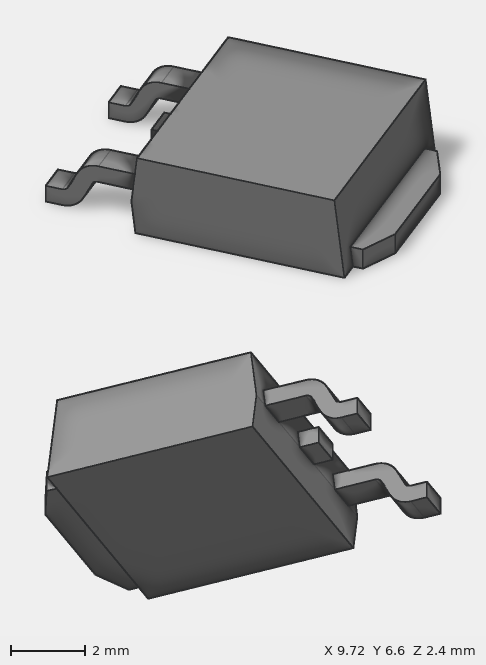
import cadquery as cq
import math

total_length = 9.72

body_width = 6.6
body_height = 2.4
front_top_x = 2.89
front_bottom_x = 2.84
front_ridge_x = 2.72
ridge_z = 0.98
back_top_x = 8.62
back_bottom_x = 8.91

lead_thickness = 0.51
lead_width = 0.89
lead_offset_y = 2.27
lead_top_z = ridge_z + lead_thickness
bend_inner_radius = 0.19
bend_outer_radius = bend_inner_radius + lead_thickness
lower_bend_x = 0.48
upper_bend_x = 1.53

stub_width = 0.93
stub_tip_x = 2.17

tab_thickness = 0.61
tab_width = 5.37
tab_end_width = 3.27
tab_taper_x = 9.2


def face_x(start_x, start_z, end_x, end_z, z):
    """X at height z on a sloping face running between two profile points."""
    return start_x + (end_x - start_x) * (z - start_z) / (end_z - start_z)


lead_root_top_x = face_x(front_ridge_x, ridge_z, front_top_x, body_height, lead_top_z)


def centred_plate(width, center_y=0.0):
    """XZ workplane placed so that extruding by width is centred on center_y."""
    return cq.Workplane("XZ", origin=(0, center_y + width / 2, 0))


def make_housing():
    outline = [
        (front_bottom_x, 0),
        (back_bottom_x, 0),
        (back_top_x, body_height),
        (front_top_x, body_height),
        (front_ridge_x, ridge_z),
    ]
    return centred_plate(body_width).polyline(outline).close().extrude(body_width)


def make_lead(center_y):
    """Gull-wing lead: flat foot, two opposite bends, and a flat run to the housing."""
    lower_center = (lower_bend_x, bend_outer_radius)
    upper_center = (upper_bend_x, lead_top_z - bend_outer_radius)

    run = upper_center[0] - lower_center[0]
    rise = upper_center[1] - lower_center[1]
    radius_sum = bend_inner_radius + bend_outer_radius
    slope = math.asin(radius_sum / math.hypot(run, rise)) + math.atan2(rise, run)

    def lower_arc(radius, angle):
        return (
            lower_center[0] + radius * math.sin(angle),
            lower_center[1] - radius * math.cos(angle),
        )

    def upper_arc(radius, angle):
        return (
            upper_center[0] - radius * math.sin(angle),
            upper_center[1] + radius * math.cos(angle),
        )

    return (
        centred_plate(lead_width, center_y)
        .moveTo(0, 0)
        .lineTo(lower_bend_x, 0)
        .threePointArc(lower_arc(bend_outer_radius, slope / 2), lower_arc(bend_outer_radius, slope))
        .lineTo(*upper_arc(bend_inner_radius, slope))
        .threePointArc(upper_arc(bend_inner_radius, slope / 2), upper_arc(bend_inner_radius, 0))
        .lineTo(front_ridge_x, ridge_z)
        .lineTo(lead_root_top_x, lead_top_z)
        .lineTo(upper_bend_x, lead_top_z)
        .threePointArc(upper_arc(bend_outer_radius, slope / 2), upper_arc(bend_outer_radius, slope))
        .lineTo(*lower_arc(bend_inner_radius, slope))
        .threePointArc(lower_arc(bend_inner_radius, slope / 2), lower_arc(bend_inner_radius, 0))
        .lineTo(0, lead_thickness)
        .close()
        .extrude(lead_width)
    )


def make_stub_lead():
    outline = [
        (stub_tip_x, ridge_z),
        (front_ridge_x, ridge_z),
        (lead_root_top_x, lead_top_z),
        (stub_tip_x, lead_top_z),
    ]
    return centred_plate(stub_width).polyline(outline).close().extrude(stub_width)


def make_tab():
    """Tapered plate whose root follows the sloping back face of the housing."""
    root_top_x = face_x(back_bottom_x, 0, back_top_x, body_height, tab_thickness)
    side_outline = [
        (back_bottom_x, 0),
        (total_length, 0),
        (total_length, tab_thickness),
        (root_top_x, tab_thickness),
    ]
    plan_outline = [
        (root_top_x, -tab_width / 2),
        (tab_taper_x, -tab_width / 2),
        (total_length, -tab_end_width / 2),
        (total_length, tab_end_width / 2),
        (tab_taper_x, tab_width / 2),
        (root_top_x, tab_width / 2),
    ]
    plate = centred_plate(tab_width).polyline(side_outline).close().extrude(tab_width)
    plan = cq.Workplane("XY").polyline(plan_outline).close().extrude(tab_thickness)
    return plate.intersect(plan)


housing = make_housing()
leads = [make_lead(center_y) for center_y in (-lead_offset_y, lead_offset_y)]
stub_lead = make_stub_lead()
tab = make_tab()

result = cq.Compound.makeCompound(
    [housing.val(), *[lead.val() for lead in leads], stub_lead.val(), tab.val()]
)